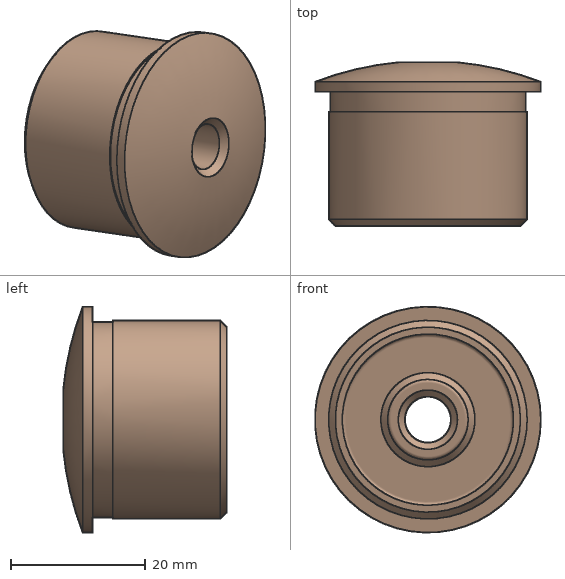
import cadquery as cq
import math


sleeve_diameter = 29.6
bore_diameter = 25.5
rim_chamfer = 1.0
sleeve_length = 17.02
neck_diameter = 29.2
neck_length = 3.0
bore_fillet = 0.5

flange_diameter = 33.7
flange_thickness = 1.48
overall_length = 24.43

boss_height = 7.5
boss_diameter = 12.0
boss_fillet = 0.5
boss_base_chamfer = 1.0
hole_diameter = 6.8
hole_chamfer = 1.0

flange_start = sleeve_length + neck_length
floor_level = flange_start
flange_end = flange_start + flange_thickness
boss_end = floor_level - boss_height

flange_radius = flange_diameter / 2
sleeve_radius = sleeve_diameter / 2
neck_radius = neck_diameter / 2
bore_radius = bore_diameter / 2
boss_radius = boss_diameter / 2
hole_radius = hole_diameter / 2
hole_mouth_radius = hole_radius + hole_chamfer


def dome_sphere():
    """Radius and centre Y of the sphere through the flange edge and the hole mouth."""
    dome_height = overall_length - flange_end
    offset = (hole_mouth_radius**2 + dome_height**2 - flange_radius**2) / (2 * dome_height)
    return math.hypot(flange_radius, offset), flange_end + offset


def dome_midpoint():
    """Point of the dome arc halfway in radius between the flange edge and the hole mouth."""
    sphere_radius, centre_y = dome_sphere()
    radius = (flange_radius + hole_mouth_radius) / 2
    return radius, centre_y + math.sqrt(sphere_radius**2 - radius**2)


def arc_middle(centre, radius, angle):
    """Point on a fillet arc at the given angle in degrees."""
    turn = math.radians(angle)
    return centre[0] + radius * math.cos(turn), centre[1] + radius * math.sin(turn)


bore_fillet_middle = arc_middle((bore_radius - bore_fillet, floor_level - bore_fillet), bore_fillet, 45)
boss_fillet_middle = arc_middle((boss_radius - boss_fillet, boss_end + boss_fillet), boss_fillet, -45)

half_section = (
    cq.Workplane("XY")
    .moveTo(bore_radius, 0)
    .lineTo(sleeve_radius - rim_chamfer, 0)
    .lineTo(sleeve_radius, rim_chamfer)
    .lineTo(sleeve_radius, sleeve_length)
    .lineTo(neck_radius, sleeve_length)
    .lineTo(neck_radius, flange_start)
    .lineTo(flange_radius, flange_start)
    .lineTo(flange_radius, flange_end)
    .threePointArc(dome_midpoint(), (hole_mouth_radius, overall_length))
    .lineTo(hole_radius, overall_length - hole_chamfer)
    .lineTo(hole_radius, boss_end + hole_chamfer)
    .lineTo(hole_mouth_radius, boss_end)
    .lineTo(boss_radius - boss_fillet, boss_end)
    .threePointArc(boss_fillet_middle, (boss_radius, boss_end + boss_fillet))
    .lineTo(boss_radius, floor_level - boss_base_chamfer)
    .lineTo(boss_radius + boss_base_chamfer, floor_level)
    .lineTo(bore_radius - bore_fillet, floor_level)
    .threePointArc(bore_fillet_middle, (bore_radius, floor_level - bore_fillet))
    .close()
)

result = half_section.revolve(360, (0, 0, 0), (0, 1, 0))